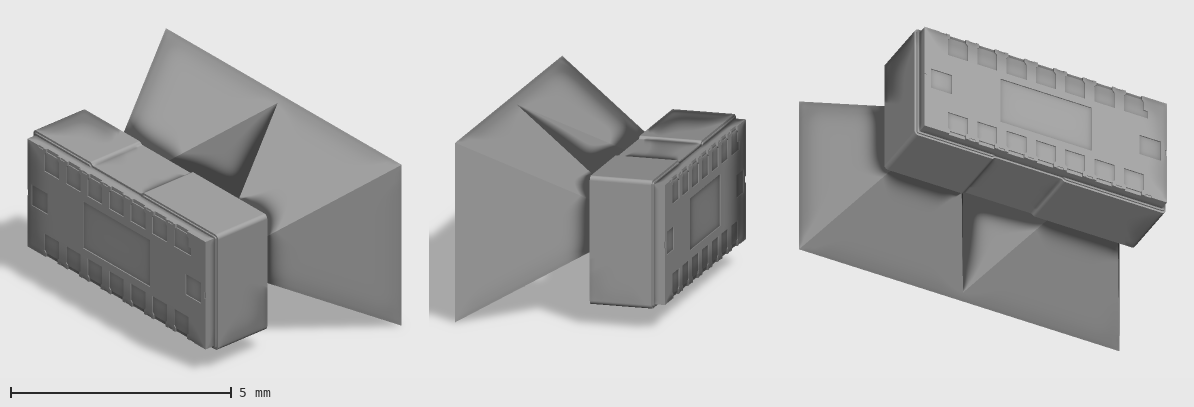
import cadquery as cq
import math


substrate_top = 0.25
lip_top = 0.28
cap_top = 1.75
cone_top = 4.75

substrate_width = 6.2
substrate_height = 2.805

cap_width = 6.42
cap_height = 3.0
cap_corner_radius = 0.1
lip_inset = 0.05
waist_left = -1.18
waist_right = 0.58
waist_depth = 0.06
waist_ramp_radius = 0.08

pair_width = 8.2
cone_wide = 4.2
cone_narrow = 0.935
pair_centre_x = 0.29
pair_centre_z = 0.11

pad_columns = 7
pad_pitch = 0.75
pad_width = 0.51
pad_inner_z = 0.81
pad_corner = 0.05
pad_shoulder_z = 1.25
neck_width = 2 * (pad_width / 2 - pad_corner)
neck_start_z = 1.31
pad_depth = 0.025
neck_depth = 0.05
key_tab_width = 0.1
key_tab_height = 0.205
centre_pad_width = 2.33
centre_pad_height = 1.22
end_pad_size = 0.54
end_pad_x = 2.67

mark_length = 0.155
mark_width = 0.05
mark_depth = 0.02

half_width = substrate_width / 2
half_height = substrate_height / 2


def block(x_min, x_max, z_min, z_max, y_min, y_max):
    """Box between the given limits."""
    return cq.Workplane("XY").box(
        x_max - x_min, y_max - y_min, z_max - z_min, centered=False
    ).translate((x_min, y_min, z_min))


def pocket(x, z, width, height, depth):
    """Cutter for a rectangular recess in the contact face, centred on (x, z)."""
    return block(x - width / 2, x + width / 2, z - height / 2, z + height / 2, 0, depth)


def row_pad_cutter(x):
    """Cutter for one pad of the upper row: recessed pad, with a deeper neck out to the edge."""
    corner_end_z = pad_shoulder_z + pad_corner
    half_outline = [
        (pad_width / 2, pad_inner_z),
        (pad_width / 2, pad_shoulder_z),
        (neck_width / 2, corner_end_z),
        (neck_width / 2, neck_start_z),
    ]
    mirrored = [(-px, pz) for px, pz in reversed(half_outline)]
    pad = (
        cq.Workplane("XZ")
        .polyline(half_outline + mirrored)
        .close()
        .extrude(-pad_depth)
        .translate((x, 0, 0))
    )
    neck = block(x - neck_width / 2, x + neck_width / 2, neck_start_z, half_height, 0, neck_depth)
    return pad.union(neck)


def cut_pads(body):
    """Two mirrored rows of pads, the key tab, the centre pad and the two end pads."""
    for column in range(pad_columns):
        x = (column - (pad_columns - 1) / 2) * pad_pitch
        cutter = row_pad_cutter(x)
        body = body.cut(cutter).cut(cutter.mirror("XY"))

    first_pad_right = (pad_columns - 1) / 2 * pad_pitch + pad_width / 2
    key_tab = block(
        first_pad_right, first_pad_right + key_tab_width,
        pad_inner_z, pad_inner_z + key_tab_height, 0, pad_depth,
    )
    body = body.cut(key_tab)
    body = body.cut(pocket(0, 0, centre_pad_width, centre_pad_height, pad_depth))
    for side in (-1, 1):
        body = body.cut(pocket(side * end_pad_x, 0, end_pad_size, end_pad_size, pad_depth))
    return body


def cut_edge_marks(body):
    """Shallow marks beside the pads; the upper row starts one step further left than the lower."""
    mark_z = half_height - mark_width / 2
    for column in range(pad_columns):
        x = (column - pad_columns / 2) * pad_pitch
        body = body.cut(pocket(x, mark_z, mark_length, mark_width, mark_depth))
        body = body.cut(pocket(x + pad_pitch, -mark_z, mark_length, mark_width, mark_depth))
    for side in (-1, 1):
        mark_x = side * (half_width - mark_width / 2)
        body = body.cut(pocket(mark_x, 0, mark_width, mark_length, mark_depth))
    return body


def make_substrate():
    body = block(-half_width, half_width, -half_height, half_height, 0, substrate_top)
    return cut_edge_marks(cut_pads(body))


def cap_prism(inset, y_min, y_max):
    """Cap outline moved inward by inset and extruded: rounded corners and a shallow waist."""
    half_w = cap_width / 2 - inset
    half_h = cap_height / 2 - inset
    waist_h = half_h - waist_depth
    shift = inset * math.tan(math.pi / 8)
    left_outer = waist_left - waist_depth / 2 - shift
    left_inner = waist_left + waist_depth / 2 - shift
    right_inner = waist_right - waist_depth / 2 + shift
    right_outer = waist_right + waist_depth / 2 + shift
    top = [
        (-half_w, half_h),
        (left_outer, half_h),
        (left_inner, waist_h),
        (right_inner, waist_h),
        (right_outer, half_h),
        (half_w, half_h),
    ]
    bottom = [(x, -z) for x, z in reversed(top)]
    prism = (
        cq.Workplane("XZ", origin=(0, y_min, 0))
        .polyline(top + bottom)
        .close()
        .extrude(-(y_max - y_min))
    )
    corner_edges = cq.selectors.BoxSelector
    for x in (-half_w, half_w):
        reach = cap_corner_radius / 2
        selector = corner_edges((x - reach, y_min, -cap_height), (x + reach, y_max, cap_height))
        prism = prism.edges("|Y").edges(selector).fillet(cap_corner_radius - inset)
    ramp_edges = corner_edges(
        (left_outer - reach, y_min, -cap_height), (right_outer + reach, y_max, cap_height)
    )
    for x in (left_outer, left_inner, right_inner, right_outer):
        at_ramp_end = corner_edges((x - 0.01, y_min, -cap_height), (x + 0.01, y_max, cap_height))
        prism = prism.edges("|Y").edges(at_ramp_end).fillet(waist_ramp_radius)
    return prism


def make_cap():
    return cap_prism(lip_inset, substrate_top, lip_top).union(cap_prism(0, lip_top, cap_top))


def make_view_cone(side):
    """Square cone on the cap; where the two cones meet, each ends at the plane between them."""
    x = pair_centre_x + side * (pair_width - cone_wide) / 2
    cone = (
        cq.Workplane("XZ", origin=(x, cap_top, pair_centre_z))
        .rect(cone_narrow, cone_narrow)
        .workplane(offset=-(cone_top - cap_top))
        .rect(cone_wide, cone_wide)
        .loft(ruled=True)
    )
    own_half = cq.Workplane("XY").box(pair_width, 2 * cone_top, pair_width).translate(
        (pair_centre_x + side * pair_width / 2, cone_top, pair_centre_z)
    )
    return cone.intersect(own_half)


substrate = make_substrate()
cap = make_cap()
view_cones = [make_view_cone(side) for side in (-1, 1)]

result = cq.Compound.makeCompound(
    [substrate.val(), cap.val()] + [cone.val() for cone in view_cones]
)